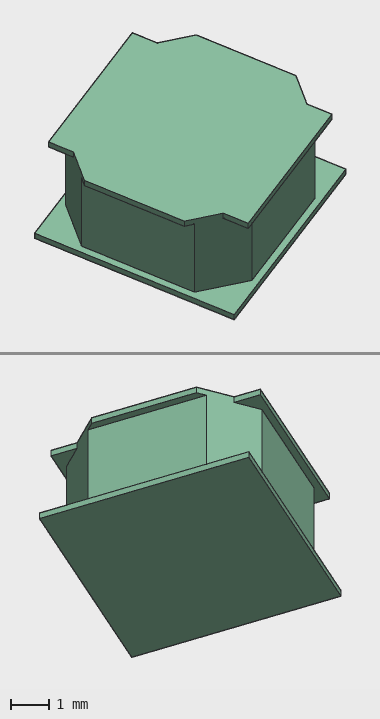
import cadquery as cq

side = 6.0
height = 3.0
plate_thickness = 0.2
body_inset = 0.2
notch_depth = 0.75
notch_length = 1.5

body_side = side - 2 * body_inset
body_height = height - 2 * plate_thickness
body_chamfer = notch_length - 2 * body_inset


def make_base_plate():
    return cq.Workplane("XY").box(side, side, plate_thickness, centered=(True, True, False))


def make_body():
    return (
        cq.Workplane("XY", origin=(0, 0, plate_thickness))
        .box(body_side, body_side, body_height, centered=(True, True, False))
        .edges("|Z")
        .chamfer(body_chamfer)
    )


def make_top_plate():
    half = side / 2
    step = half - notch_depth
    slant_end = half - notch_length
    plate = (
        cq.Workplane("XY", origin=(0, 0, height - plate_thickness))
        .rect(side, side)
        .extrude(plate_thickness)
    )
    for x_sign in (-1, 1):
        for y_sign in (-1, 1):
            outline = [(half, half), (half, step), (step, step), (slant_end, half)]
            notch = (
                cq.Workplane("XY", origin=(0, 0, height - plate_thickness))
                .polyline([(x_sign * x, y_sign * y) for x, y in outline])
                .close()
                .extrude(plate_thickness)
            )
            plate = plate.cut(notch)
    return plate


result = make_base_plate().union(make_body()).union(make_top_plate())